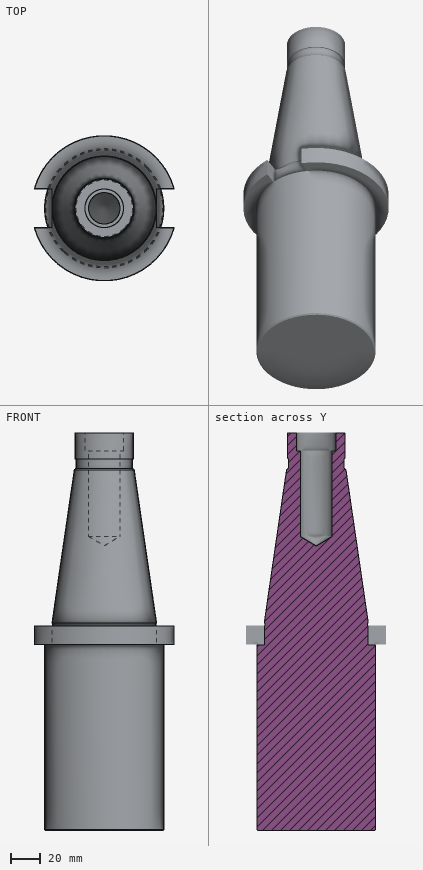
import cadquery as cq
import math

total_height = 266.8
flange_bottom = 124.9
flange_top = 137.5
taper_bottom = 139.3
taper_top = 242.0
neck_bottom = 243.0
neck_top = 249.5

body_diameter = 80.0
flange_diameter = 97.5
relief_diameter = 69.5
taper_diameter = 70.2
neck_diameter = 38.0
pilot_diameter = 39.2
taper_ratio = 7 / 24
bottom_chamfer = 0.8

slot_width = 26.0
slot_floor_distance = 35.0

counterbore_diameter = 26.0
counterbore_depth = 12.0
bore_diameter = 21.0
bore_depth = 69.5
drill_point_angle = 118.0


def make_shank():
    """Body, flange, taper and pilot revolved from one half profile."""
    body_radius = body_diameter / 2
    flange_radius = flange_diameter / 2
    relief_radius = relief_diameter / 2
    taper_radius = taper_diameter / 2
    taper_top_radius = taper_radius - taper_ratio * (taper_top - taper_bottom) / 2
    neck_radius = neck_diameter / 2
    pilot_radius = pilot_diameter / 2
    profile = [
        (0, 0),
        (body_radius - bottom_chamfer, 0),
        (body_radius, bottom_chamfer),
        (body_radius, flange_bottom),
        (flange_radius, flange_bottom),
        (flange_radius, flange_top),
        (relief_radius, flange_top),
        (relief_radius, taper_bottom),
        (taper_radius, taper_bottom),
        (taper_top_radius, taper_top),
        (neck_radius, neck_bottom),
        (neck_radius, neck_top),
        (pilot_radius, neck_top),
        (pilot_radius, total_height),
        (0, total_height),
    ]
    return cq.Workplane("XZ").polyline(profile).close().revolve(360, (0, 0), (0, 1))


def make_draw_bar_hole():
    """Counterbored blind hole with a conical drill point."""
    counterbore_radius = counterbore_diameter / 2
    bore_radius = bore_diameter / 2
    counterbore_floor = total_height - counterbore_depth
    bore_end = total_height - bore_depth
    point_length = bore_radius / math.tan(math.radians(drill_point_angle / 2))
    profile = [
        (0, total_height),
        (counterbore_radius, total_height),
        (counterbore_radius, counterbore_floor),
        (bore_radius, counterbore_floor),
        (bore_radius, bore_end),
        (0, bore_end - point_length),
    ]
    return cq.Workplane("XZ").polyline(profile).close().revolve(360, (0, 0), (0, 1))


def make_drive_slot(side):
    """Flat-floored slot through the flange height; side is +1 or -1 along X."""
    slot_length = flange_diameter / 2 - slot_floor_distance
    slot_center = side * (slot_floor_distance + slot_length / 2)
    return (
        cq.Workplane("XY", origin=(slot_center, 0, flange_bottom))
        .rect(slot_length, slot_width)
        .extrude(flange_top - flange_bottom)
    )


result = make_shank().cut(make_draw_bar_hole())
for side in (-1, 1):
    result = result.cut(make_drive_slot(side))